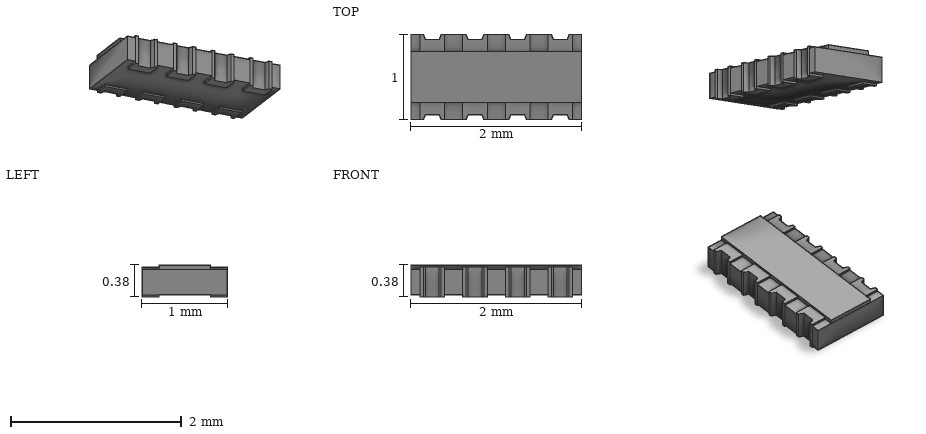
import cadquery as cq


length = 2.0
width = 1.0
substrate_thickness = 0.3

strip_width = 0.6
strip_thickness = 0.05

terminals_per_side = 4
terminal_pitch = length / terminals_per_side
terminal_width = 0.29
terminal_depth = (width - strip_width) / 2
terminal_overlay = strip_thickness / 2
terminal_height = substrate_thickness + 2 * terminal_overlay

notch_mouth = 0.208
notch_floor = 0.16
notch_depth = 0.058

substrate_bottom = terminal_overlay
substrate_top = substrate_bottom + substrate_thickness


def slab(x_size, y_size, bottom, thickness):
    """Rectangular plate centred on the Z axis."""
    return cq.Workplane("XY").workplane(offset=bottom).rect(x_size, y_size).extrude(thickness)


def terminal_block():
    """Full-height block at the middle of the -Y edge, before it is notched."""
    center_y = -(width - terminal_depth) / 2
    return slab(terminal_width, terminal_depth, 0, terminal_height).translate((0, center_y, 0))


def notch_cutter():
    """Full-height trapezoidal prism at the middle of the -Y edge."""
    edge_y = -width / 2
    floor_y = edge_y + notch_depth
    corners = [
        (-notch_mouth / 2, edge_y),
        (notch_mouth / 2, edge_y),
        (notch_floor / 2, floor_y),
        (-notch_floor / 2, floor_y),
    ]
    return cq.Workplane("XY").polyline(corners).close().extrude(terminal_height)


def at_terminals(shape):
    """Copies of a shape from the middle of the -Y edge, one per terminal on both edges."""
    copies = []
    for turn in (0, 180):
        for index in range(terminals_per_side):
            x = (index - (terminals_per_side - 1) / 2) * terminal_pitch
            copies.append(shape.translate((x, 0, 0)).rotate((0, 0, 0), (0, 0, 1), turn))
    return copies


def make_substrate():
    """Ceramic plate with a rectangular pocket through it for every terminal."""
    substrate = slab(length, width, substrate_bottom, substrate_thickness)
    for pocket in at_terminals(terminal_block()):
        substrate = substrate.cut(pocket)
    return substrate


def make_metal_shell():
    """Top strip with the terminals joined to its two long sides."""
    shell = slab(length, strip_width, substrate_top, strip_thickness)
    for terminal in at_terminals(terminal_block().cut(notch_cutter())):
        shell = shell.union(terminal)
    return shell


substrate = make_substrate()
metal_shell = make_metal_shell()

result = cq.Compound.makeCompound([*metal_shell.vals(), *substrate.vals()])